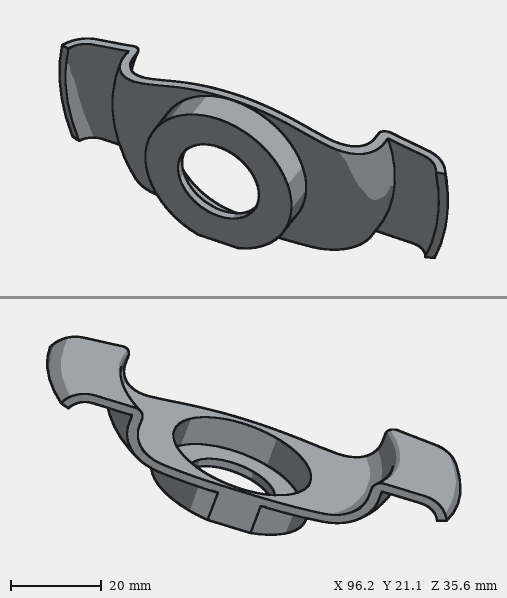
import cadquery as cq
import math

overall_depth = 21.07
top_height = 18.22
overall_height = 35.62
outer_radius = 48.09
sheet = 2.0

hub_radius = 18.1
hub_depth = 7.0
bore_radius = 10.0
cup_radius = 16.0

wall_radius = 33.85
shallow_start_radius = 15.0
shallow_arc = 75.0
tight_arc = 9.3

flange_front = overall_depth - sheet
lip_arc = 6.5
lip_start_radius = 42.0

crown_arc = 51.5
flank_angle = 18.5
shoulder_arc = 55.0
shoulder_start_x = 26.5
shoulder_angle = 9.5
ear_height = 8.05


def arc_point(center, radius, angle):
    """Point on an arc, angle in degrees from the first axis."""
    turn = math.radians(angle)
    return (center[0] + radius * math.cos(turn), center[1] + radius * math.sin(turn))


def dished_sheet():
    """Sheet of constant thickness revolved about the Y axis."""
    shallow_center = (shallow_start_radius, hub_depth + shallow_arc)
    tight_offset = wall_radius - tight_arc - shallow_start_radius
    center_distance = shallow_arc - tight_arc
    blend_angle = -math.degrees(math.acos(tight_offset / center_distance))
    tight_center = arc_point(shallow_center, center_distance, blend_angle)

    lip_center = (lip_start_radius, overall_depth - lip_arc)
    lip_angle = math.degrees(math.acos((outer_radius - lip_start_radius) / lip_arc))
    lip_mid_angle = (90 + lip_angle) / 2
    corner = (wall_radius, flange_front)

    def shallow(radius, angle):
        return arc_point(shallow_center, radius, angle)

    def tight(radius, angle):
        return arc_point(tight_center, radius, angle)

    shallow_mid_angle = (blend_angle - 90) / 2
    tight_mid_angle = blend_angle / 2
    shallow_back = shallow_arc - sheet
    tight_back = tight_arc - sheet
    lip_inner = lip_arc - sheet

    profile = (
        cq.Workplane("XY")
        .moveTo(0, hub_depth)
        .lineTo(*shallow(shallow_arc, -90))
        .threePointArc(shallow(shallow_arc, shallow_mid_angle), shallow(shallow_arc, blend_angle))
        .threePointArc(tight(tight_arc, tight_mid_angle), tight(tight_arc, 0))
        .lineTo(*corner)
        .lineTo(*arc_point(lip_center, lip_inner, 90))
        .threePointArc(
            arc_point(lip_center, lip_inner, lip_mid_angle),
            arc_point(lip_center, lip_inner, lip_angle),
        )
        .lineTo(*arc_point(lip_center, lip_arc, lip_angle))
        .threePointArc(
            arc_point(lip_center, lip_arc, lip_mid_angle),
            arc_point(lip_center, lip_arc, 90),
        )
        .lineTo(*arc_point(corner, sheet, 90))
        .threePointArc(arc_point(corner, sheet, 135), arc_point(corner, sheet, 180))
        .lineTo(*tight(tight_back, 0))
        .threePointArc(tight(tight_back, tight_mid_angle), tight(tight_back, blend_angle))
        .threePointArc(shallow(shallow_back, shallow_mid_angle), shallow(shallow_back, -90))
        .lineTo(0, hub_depth + sheet)
        .close()
    )
    return profile.revolve(360, (0, 0, 0), (0, 1, 0))


def cylinder_along_y(radius, start, end):
    return cq.Workplane("XZ", origin=(0, start, 0)).circle(radius).extrude(start - end)


def plate_outline():
    """Prism along Y bounded by the crowned upper edge and the flat bottom."""
    crown_center = (0, top_height - crown_arc)
    flank_start = arc_point(crown_center, crown_arc, 90 - flank_angle)
    flank_slope = math.tan(math.radians(flank_angle))
    shoulder_start = (
        shoulder_start_x,
        flank_start[1] - (shoulder_start_x - flank_start[0]) * flank_slope,
    )
    shoulder_center = arc_point(shoulder_start, shoulder_arc, 90 - flank_angle)
    shoulder_mid = arc_point(shoulder_center, shoulder_arc, -90 - (flank_angle + shoulder_angle) / 2)
    shoulder_end = arc_point(shoulder_center, shoulder_arc, -90 - shoulder_angle)
    shoulder_slope = math.tan(math.radians(shoulder_angle))
    ear_x = shoulder_end[0] + (shoulder_end[1] - ear_height) / shoulder_slope

    bottom = top_height - overall_height
    side = outer_radius + sheet

    def mirrored(point):
        return (-point[0], point[1])

    outline = (
        cq.Workplane("XZ")
        .moveTo(-side, bottom)
        .lineTo(side, bottom)
        .lineTo(side, ear_height)
        .lineTo(ear_x, ear_height)
        .lineTo(*shoulder_end)
        .threePointArc(shoulder_mid, shoulder_start)
        .lineTo(*flank_start)
        .threePointArc((0, top_height), mirrored(flank_start))
        .lineTo(*mirrored(shoulder_start))
        .threePointArc(mirrored(shoulder_mid), mirrored(shoulder_end))
        .lineTo(-ear_x, ear_height)
        .lineTo(-side, ear_height)
        .close()
    )
    return outline.extrude(-overall_depth)


hub = cylinder_along_y(hub_radius, 0, hub_depth + sheet)
bore = cylinder_along_y(bore_radius, 0, overall_depth)
cup = cylinder_along_y(cup_radius, sheet, overall_depth)

result = dished_sheet().union(hub).intersect(plate_outline()).cut(bore).cut(cup)